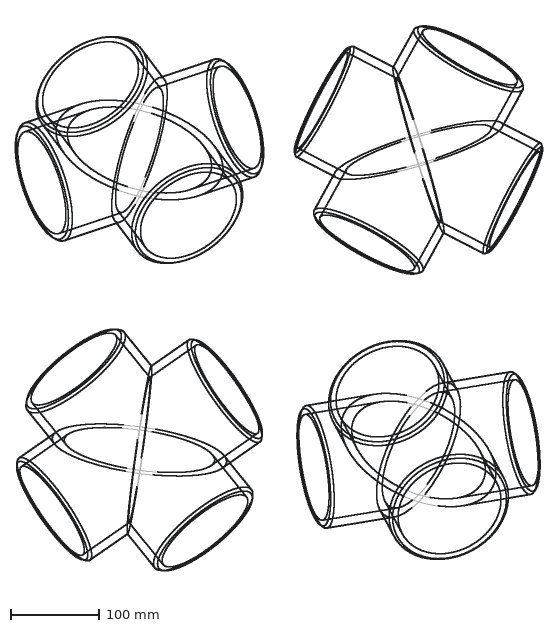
import cadquery as cq

length = 248.0
outer_diameter = 141.3
bore_diameter = 122.0
chamfer_size = 3.2


def centered_cylinder(plane, diameter):
    """Full-length cylinder centred on the origin, along the plane's normal."""
    return cq.Workplane(plane).circle(diameter / 2).extrude(length / 2, both=True)


def pipe_body(plane):
    """Solid pipe run with both outer rims bevelled."""
    return centered_cylinder(plane, outer_diameter).faces("%PLANE").edges().chamfer(chamfer_size)


run_planes = ("YZ", "XZ")
result = pipe_body(run_planes[0]).union(pipe_body(run_planes[1]))

for run_plane in run_planes:
    result = result.cut(centered_cylinder(run_plane, bore_diameter))